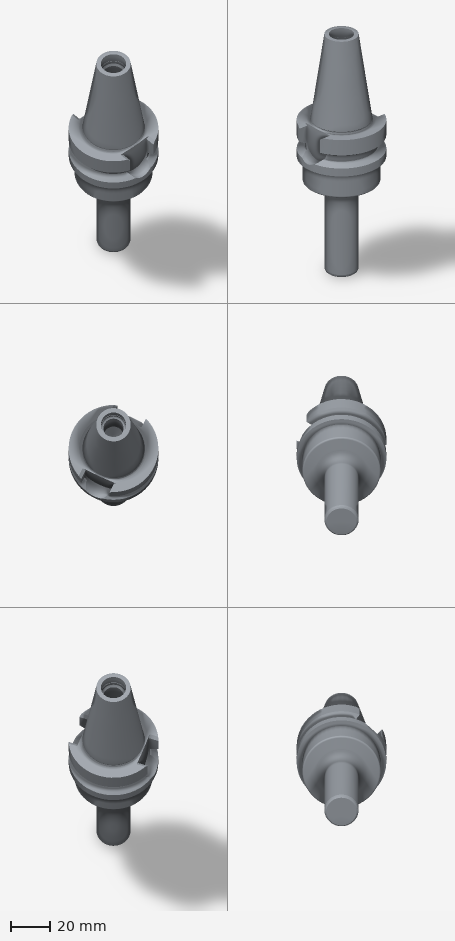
import cadquery as cq
import math

taper_length = 48.4
overall_length = 136.4
bottom_z = taper_length - overall_length

gauge_dia = 31.75
taper_small_dia = gauge_dia - taper_length * 7 / 24
neck_dia = 31.15

neck_top_z = -0.3
neck_bottom_z = -0.7
undercut_floor_dia = 32.4
undercut_floor_z = -1.3
face_relief_dia = 35.2

flange_dia = 45.98
flange_top_z = -1.0
flange_bottom_z = -22.0
groove_root_dia = 37.6
groove_root_height = 3.7
groove_step_dia = 39.2
groove_center_z = -13.6
groove_angle = 30.0

body_dia = 40.0
body_corner_radius = 1.0
shoulder_angle = 9.5
shank_dia = 17.5
shank_fillet_end_z = -42.0
shank_fillet_radius = 5.0
lead_length = 1.1
lead_end_dia = 16.8
tip_chamfer_height = 0.6
tip_dia = 15.4

slot_width = 16.1
slot_flat_x = 16.25
slot_bottom_z = -19.0
slot_mouth_chamfer = 1.7
slot_mouth_depth = 1.2

bore_mouth_dia = 12.91
bore_mouth_depth = 5.1
bore_dia = 12.51
bore_depth = 6.9
tap_hole_dia = 10.25
tap_hole_depth = 24.0
countersink_angle = 30.0
drill_point_angle = 118.0


def rise(run, angle):
    """Height gained over a horizontal run at an angle from the horizontal."""
    return run * math.tan(math.radians(angle))


def make_turned_body():
    flange_r = flange_dia / 2
    groove_r = groove_root_dia / 2
    body_r = body_dia / 2
    shank_r = shank_dia / 2
    groove_half_root = groove_root_height / 2
    groove_step_r = groove_step_dia / 2
    groove_half_mouth = groove_half_root + rise(flange_r - groove_step_r, groove_angle)

    slope = math.radians(shoulder_angle)
    fillet_center_r = shank_r + shank_fillet_radius
    fillet_top_r = fillet_center_r - shank_fillet_radius * math.sin(slope)
    fillet_top_z = shank_fillet_end_z + shank_fillet_radius * math.cos(slope)
    mid_angle = (math.pi + math.pi / 2 + slope) / 2
    fillet_mid = (
        fillet_center_r + shank_fillet_radius * math.cos(mid_angle),
        shank_fillet_end_z + shank_fillet_radius * math.sin(mid_angle),
    )

    corner_center_r = body_r - body_corner_radius
    corner_r = corner_center_r + body_corner_radius * math.sin(slope)
    corner_z = fillet_top_z + rise(corner_r - fillet_top_r, shoulder_angle)
    corner_center_z = corner_z + body_corner_radius * math.cos(slope)
    corner_mid_angle = (slope - math.pi / 2) / 2
    corner_mid = (
        corner_center_r + body_corner_radius * math.cos(corner_mid_angle),
        corner_center_z + body_corner_radius * math.sin(corner_mid_angle),
    )

    profile = (
        cq.Workplane("XZ")
        .moveTo(0, taper_length)
        .lineTo(taper_small_dia / 2, taper_length)
        .lineTo(gauge_dia / 2, 0)
        .lineTo(neck_dia / 2, neck_top_z)
        .lineTo(neck_dia / 2, neck_bottom_z)
        .lineTo(undercut_floor_dia / 2, undercut_floor_z)
        .lineTo(face_relief_dia / 2, flange_top_z)
        .lineTo(flange_r, flange_top_z)
        .lineTo(flange_r, groove_center_z + groove_half_mouth)
        .lineTo(groove_step_r, groove_center_z + groove_half_root)
        .lineTo(groove_r, groove_center_z + groove_half_root)
        .lineTo(groove_r, groove_center_z - groove_half_root)
        .lineTo(groove_step_r, groove_center_z - groove_half_root)
        .lineTo(flange_r, groove_center_z - groove_half_mouth)
        .lineTo(flange_r, flange_bottom_z)
        .lineTo(body_r, flange_bottom_z)
        .lineTo(body_r, corner_center_z)
        .threePointArc(corner_mid, (corner_r, corner_z))
        .lineTo(fillet_top_r, fillet_top_z)
        .threePointArc(fillet_mid, (shank_r, shank_fillet_end_z))
        .lineTo(shank_r, bottom_z + tip_chamfer_height + lead_length)
        .lineTo(lead_end_dia / 2, bottom_z + tip_chamfer_height)
        .lineTo(tip_dia / 2, bottom_z)
        .lineTo(0, bottom_z)
        .close()
    )
    return profile.revolve(360, (0, 0, 0), (0, 1, 0))


def make_bore():
    mouth_r = bore_mouth_dia / 2
    bore_r = bore_dia / 2
    tap_r = tap_hole_dia / 2
    bore_z = taper_length - bore_depth
    tap_z = taper_length - tap_hole_depth
    profile = (
        cq.Workplane("XZ")
        .moveTo(0, taper_length)
        .lineTo(mouth_r, taper_length)
        .lineTo(mouth_r, taper_length - bore_mouth_depth)
        .lineTo(bore_r, taper_length - bore_mouth_depth)
        .lineTo(bore_r, bore_z)
        .lineTo(tap_r, bore_z - rise(bore_r - tap_r, countersink_angle))
        .lineTo(tap_r, tap_z)
        .lineTo(0, tap_z - rise(tap_r, 90 - drill_point_angle / 2))
        .close()
    )
    return profile.revolve(360, (0, 0, 0), (0, 1, 0))


def make_slot(side):
    """Round-bottomed drive slot on the +X (side = 1) or -X (side = -1) flank."""
    half = slot_width / 2
    mouth_half = half + slot_mouth_chamfer
    arc_center_z = slot_bottom_z + half
    profile = (
        cq.Workplane("YZ", origin=(side * slot_flat_x, 0, 0))
        .moveTo(-mouth_half, flange_top_z)
        .lineTo(-half, flange_top_z - slot_mouth_depth)
        .lineTo(-half, arc_center_z)
        .threePointArc((0, slot_bottom_z), (half, arc_center_z))
        .lineTo(half, flange_top_z - slot_mouth_depth)
        .lineTo(mouth_half, flange_top_z)
        .close()
    )
    return profile.extrude(side * flange_dia / 2)


result = make_turned_body().cut(make_bore())
for side in (1, -1):
    result = result.cut(make_slot(side))